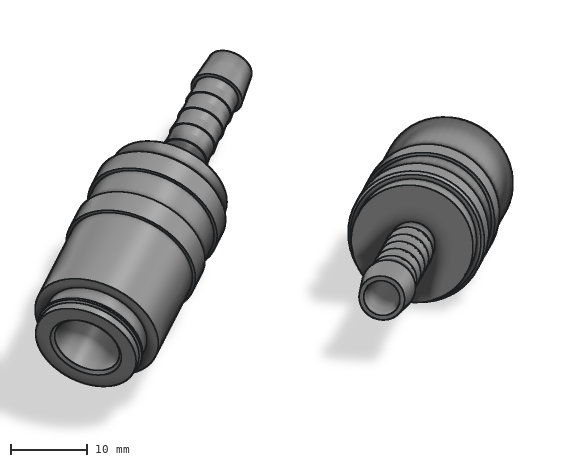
import cadquery as cq

total_length = 53.0

nose_radius = 7.0
nose_length = 4.0
ring_radius = 7.25
ring_center = 1.55
ring_base_width = 0.85
ring_crest_width = 0.3

body_radius = 8.6
band_radius = 9.0
front_band_start = 16.5
front_band_end = 20.0
rear_band_start = 24.45
body_end = 28.0
band_chamfer = 0.35
collar_radius = 8.05
collar_end = 30.6

tail_radius = 3.0
tip_barb_radius = 3.55
tip_barb_length = 5.0
ridge_radius = 3.2
ridge_length = 1.5
ridge_pitch = 2.95
ridge_count = 5

socket_radius = 4.5
socket_depth = 23.85
socket_chamfer = 0.4
passage_radius = 2.4


def revolve_profile(profile):
    """Full turn about the Y axis of a closed (radius, axial position) outline."""
    return cq.Workplane("XY").polyline(profile).close().revolve(360, (0, 0), (0, 1))


def cylinder(radius, start, end):
    """Solid cylinder along +Y between two axial positions."""
    return cone(radius, radius, start, end)


def cone(start_radius, end_radius, start, end):
    """Solid frustum along +Y, with a radius given at each end."""
    profile = [(0, start), (start_radius, start), (end_radius, end), (0, end)]
    return revolve_profile(profile)


def snap_ring():
    """Low bevelled ring around the nose."""
    half_base = ring_base_width / 2
    half_crest = ring_crest_width / 2
    profile = [
        (0, ring_center - half_base),
        (nose_radius, ring_center - half_base),
        (ring_radius, ring_center - half_crest),
        (ring_radius, ring_center + half_crest),
        (nose_radius, ring_center + half_base),
        (0, ring_center + half_base),
    ]
    return revolve_profile(profile)


def coupling_body():
    """Nose, cylindrical body, raised bands and rear collar."""
    rear_band = cylinder(band_radius, rear_band_start, body_end).faces(">Y").chamfer(band_chamfer)
    return (
        cylinder(nose_radius, 0, nose_length)
        .union(snap_ring())
        .union(cylinder(body_radius, nose_length, body_end))
        .union(cylinder(band_radius, front_band_start, front_band_end))
        .union(rear_band)
        .union(cylinder(collar_radius, body_end, collar_end))
    )


def hose_tail():
    """Straight tail with a tapered tip barb and a row of smaller ridges."""
    barb_start = total_length - tip_barb_length
    tail = cylinder(tail_radius, collar_end, barb_start)
    tail = tail.union(cone(tip_barb_radius, tail_radius, barb_start, total_length))
    for index in range(ridge_count):
        ridge_start = barb_start - (index + 1) * ridge_pitch
        ridge = cone(ridge_radius, tail_radius, ridge_start, ridge_start + ridge_length)
        tail = tail.union(ridge)
    return tail


def bores():
    """Chamfered socket leading into the through passage."""
    passage = cylinder(passage_radius, 0, total_length)
    socket = cylinder(socket_radius, 0, socket_depth)
    lead_in = cone(socket_radius + socket_chamfer, socket_radius, 0, socket_chamfer)
    return passage.union(socket).union(lead_in)


result = coupling_body().union(hose_tail()).cut(bores())